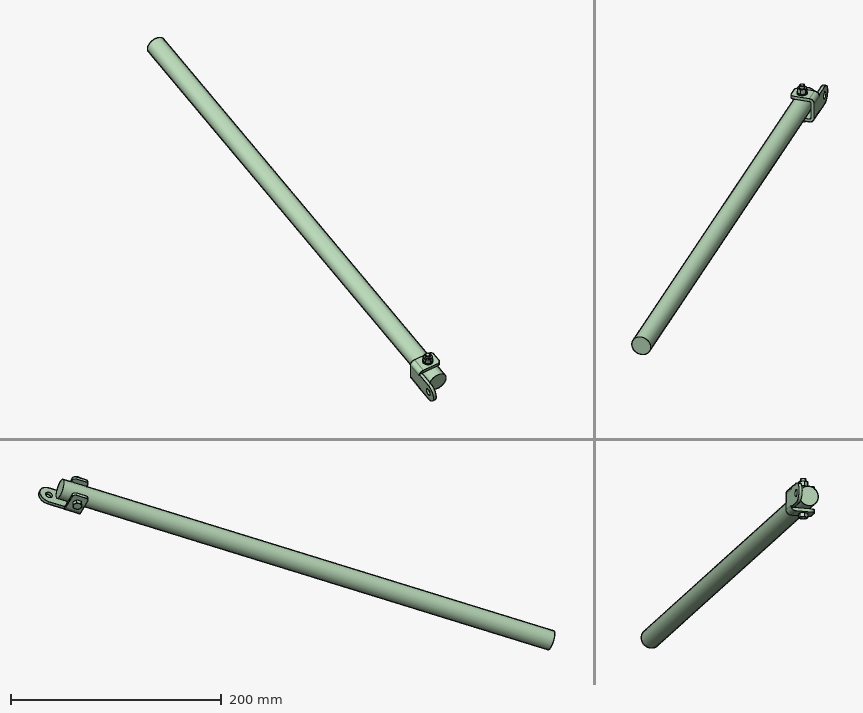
import cadquery as cq
import math

rod_diameter = 19.05
rod_radius = rod_diameter / 2
rod_length = 507.0

overall_length = 522.99
overall_width = 24.13
sheet_thickness = 3.175
bracket_height = rod_diameter + 2 * sheet_thickness
bracket_length = 41.7
flange_length = 15.875
bend_inner_radius = 1.5875
bend_outer_radius = bend_inner_radius + sheet_thickness
flange_corner_radius = 3.175
tongue_radius = rod_radius
eye_diameter = 6.76

bracket_start = overall_length - bracket_length
flange_end = bracket_start + flange_length
flange_edge_y = rod_radius
web_outer_y = flange_edge_y - overall_width
web_inner_y = web_outer_y + sheet_thickness
eye_x = overall_length - tongue_radius

overall_height = 38.5
bolt_x = bracket_start + flange_length / 2
bolt_diameter = 5.0
bolt_tip_chamfer = 0.5
hex_across_flats = 8.0
hex_half_angle = 30.0
hex_across_corners = hex_across_flats / math.cos(math.radians(hex_half_angle))
hex_chamfer_angle = 30.0
head_height = 4.0
nut_height = 5.0
washer_diameter = 10.0
washer_thickness = 1.0
bolt_bottom = -bracket_height / 2 - head_height


def make_rod():
    """Plain solid rod."""
    return cq.Workplane("YZ").circle(rod_radius).extrude(rod_length)


def make_channel():
    """Bent channel that clasps the rod, open toward +Y."""
    depth_center_y = (web_outer_y + flange_edge_y) / 2
    outer = (
        cq.Workplane("YZ", origin=(bracket_start, depth_center_y, 0))
        .rect(overall_width, bracket_height)
        .extrude(flange_length)
        .edges("|X and <Y")
        .fillet(bend_outer_radius)
        .edges("|Z and >Y")
        .fillet(flange_corner_radius)
    )
    inner = (
        cq.Workplane("YZ", origin=(bracket_start, depth_center_y + sheet_thickness, 0))
        .rect(overall_width, rod_diameter)
        .extrude(flange_length)
        .edges("|X and <Y")
        .fillet(bend_inner_radius)
    )
    return outer.cut(inner)


def make_tongue():
    """Flat tongue in the plane of the web, with a round end and an eye."""
    return (
        cq.Workplane("XZ", origin=(0, web_inner_y, 0))
        .moveTo(flange_end, -tongue_radius)
        .lineTo(eye_x, -tongue_radius)
        .threePointArc((overall_length, 0), (eye_x, tongue_radius))
        .lineTo(flange_end, tongue_radius)
        .close()
        .moveTo(eye_x, 0)
        .circle(eye_diameter / 2)
        .extrude(sheet_thickness)
    )


def make_hexagon(seat_z, height, direction):
    """Hexagon seated at seat_z, its far corners trimmed by a cone that meets the flats."""
    cone_slope = math.tan(math.radians(hex_chamfer_angle))
    cone_height = height + hex_across_flats / 2 * cone_slope
    cone_radius = cone_height / cone_slope
    seat = cq.Workplane("XY", origin=(bolt_x, 0, seat_z))
    prism = seat.polygon(6, hex_across_corners).extrude(direction * height)
    cone = (
        cq.Workplane("XZ", origin=(bolt_x, 0, seat_z))
        .lineTo(cone_radius, 0)
        .lineTo(0, direction * cone_height)
        .close()
        .revolve(360, (0, 0, 0), (0, 1, 0))
    )
    return prism.intersect(cone)


def make_bolt():
    """Chamfered shank, hexagon head below the bracket, washer and nut above it."""
    shank = (
        cq.Workplane("XY", origin=(bolt_x, 0, bolt_bottom))
        .circle(bolt_diameter / 2)
        .extrude(overall_height)
        .faces(">Z")
        .chamfer(bolt_tip_chamfer)
    )
    head = make_hexagon(-bracket_height / 2, head_height, -1)
    washer = (
        cq.Workplane("XY", origin=(bolt_x, 0, bracket_height / 2))
        .circle(washer_diameter / 2)
        .extrude(washer_thickness)
    )
    nut = make_hexagon(bracket_height / 2 + washer_thickness, nut_height, 1)
    return shank.union(head).union(washer).union(nut)


result = make_rod().union(make_channel()).union(make_tongue()).union(make_bolt())